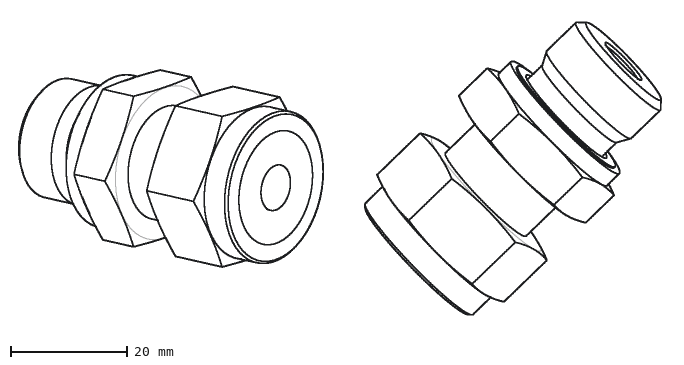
import cadquery as cq
import math

overall_length = 49.7
across_flats = 27.0
across_corners = across_flats / math.cos(math.radians(30))

bore_diameter = 8.0
bore_chamfer = 0.5

stud_diameter = 20.95
stud_chamfer = 1.25
stud_end = 8.3
relief_diameter = 18.5
relief_start = 10.6

seal_diameter = 24.1
seal_height = 0.25
seal_recess_diameter = 19.85
seal_recess_depth = 1.0
collar_diameter = 26.85
collar_start = 14.0
fitting_hex_start = 17.0
fitting_hex_end = 25.0
neck_diameter = 20.0

nut_start = 33.2
nut_hex_end = 44.75
nut_collar_diameter = 26.7
nut_rim_chamfer = 0.45

hex_chamfer_angle = 15.0
hex_face_diameter = 26.95
envelope_clearance = 0.5


def cylinder(diameter, start, end):
    """Round bar on the X axis between two stations."""
    return cq.Workplane("YZ").workplane(offset=start).circle(diameter / 2).extrude(end - start)


def chamfered_hexagon(start, end):
    """Hexagonal bar with corners on +/-Y, cut conically at both ends."""
    bar = cq.Workplane("YZ").workplane(offset=start).polygon(6, across_corners).extrude(end - start)
    face_radius = hex_face_diameter / 2
    outer_radius = across_corners / 2 + envelope_clearance
    cone_depth = (outer_radius - face_radius) * math.tan(math.radians(hex_chamfer_angle))
    envelope = (
        cq.Workplane("XY")
        .moveTo(start, 0)
        .lineTo(start, face_radius)
        .lineTo(start + cone_depth, outer_radius)
        .lineTo(end - cone_depth, outer_radius)
        .lineTo(end, face_radius)
        .lineTo(end, 0)
        .close()
        .revolve(360, (0, 0, 0), (1, 0, 0))
    )
    return bar.intersect(envelope)


def stud_and_collar():
    """Chamfered stud, tapering to its relief groove, and the coned recess in the collar seal face."""
    stud_radius = stud_diameter / 2
    relief_radius = relief_diameter / 2
    recess_radius = seal_recess_diameter / 2
    seal_radius = seal_diameter / 2
    collar_radius = collar_diameter / 2
    seal_face = collar_start - seal_height
    recess_tip = seal_face + seal_recess_depth
    return (
        cq.Workplane("XY")
        .lineTo(0, stud_radius - stud_chamfer)
        .lineTo(stud_chamfer, stud_radius)
        .lineTo(stud_end, stud_radius)
        .lineTo(relief_start, relief_radius)
        .lineTo(recess_tip, relief_radius)
        .lineTo(seal_face, recess_radius)
        .lineTo(seal_face, seal_radius)
        .lineTo(collar_start, seal_radius)
        .lineTo(collar_start, collar_radius)
        .lineTo(fitting_hex_start, collar_radius)
        .lineTo(fitting_hex_start, 0)
        .close()
        .revolve(360, (0, 0, 0), (1, 0, 0))
    )


def make_fitting():
    """Stud, collar, hexagon and neck in one piece, bored right through."""
    body = (
        stud_and_collar()
        .union(chamfered_hexagon(fitting_hex_start, fitting_hex_end))
        .union(cylinder(neck_diameter, fitting_hex_end, overall_length))
        .cut(cylinder(bore_diameter, 0, overall_length))
    )
    bore_edge = cq.selectors.RadiusNthSelector(0)
    return body.faces("<X").edges(bore_edge).chamfer(bore_chamfer)


def make_nut():
    """Union nut fitted closely around the neck."""
    collar = cylinder(nut_collar_diameter, nut_hex_end, overall_length)
    collar = collar.faces(">X").chamfer(nut_rim_chamfer)
    body = chamfered_hexagon(nut_start, nut_hex_end).union(collar)
    return body.cut(cylinder(neck_diameter, nut_start, overall_length))


fitting = make_fitting()
nut = make_nut()

result = cq.Compound.makeCompound([fitting.solids().val(), nut.solids().val()])